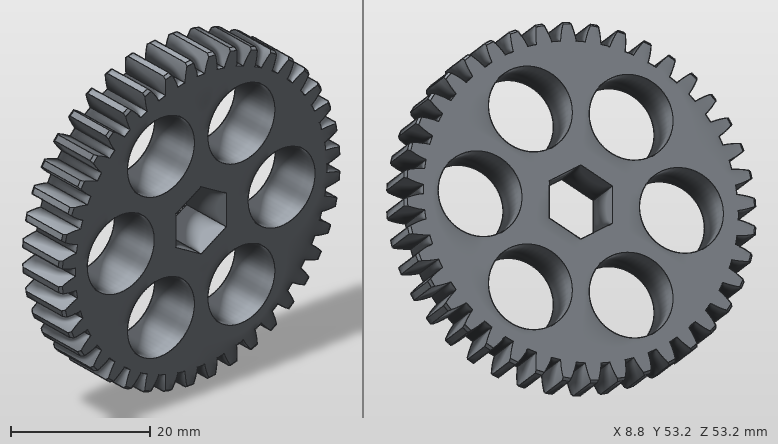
import cadquery as cq
import math

face_width = 8.8
tooth_count = 40
tooth_pitch_angle = 360 / tooth_count
pitch_radius = 25.4
module = 2 * pitch_radius / tooth_count
tip_radius = pitch_radius + module
root_radius = pitch_radius - 1.25 * module

root_half_thickness = 1.2
pitch_half_thickness = 0.9
tip_half_thickness = 0.505

tip_bevel_length = 0.5
tip_bevel_depth = 0.35

hex_sides = 6
hex_across_flats = 9.55
hole_count = 6
hole_diameter = 12.65
hole_circle_radius = 15.25


def start_face():
    """Sketch plane on the -X face of the gear."""
    return cq.Workplane("YZ", origin=(-face_width / 2, 0, 0))


def polar_point(radius, angle_degrees):
    """Point at a radius and angle about the gear axis, measured from +Y towards +Z."""
    angle = math.radians(angle_degrees)
    return (radius * math.cos(angle), radius * math.sin(angle))


def flank_point(radius, half_thickness, tooth_angle, side):
    """Point on a tooth flank; side is -1 or +1 about the tooth centre line."""
    offset_angle = math.degrees(math.asin(half_thickness / radius))
    return polar_point(radius, tooth_angle + side * offset_angle)


def make_toothed_blank():
    """Extruded outline: each tooth is two curved flanks, a tip arc and a root arc."""
    first_angle = tooth_pitch_angle / 2
    start_point = flank_point(root_radius, root_half_thickness, first_angle, -1)
    outline = start_face().moveTo(*start_point)
    for index in range(tooth_count):
        angle = first_angle + index * tooth_pitch_angle
        next_angle = angle + tooth_pitch_angle
        outline = outline.threePointArc(
            flank_point(pitch_radius, pitch_half_thickness, angle, -1),
            flank_point(tip_radius, tip_half_thickness, angle, -1),
        )
        outline = outline.threePointArc(
            polar_point(tip_radius, angle),
            flank_point(tip_radius, tip_half_thickness, angle, 1),
        )
        outline = outline.threePointArc(
            flank_point(pitch_radius, pitch_half_thickness, angle, 1),
            flank_point(root_radius, root_half_thickness, angle, 1),
        )
        outline = outline.threePointArc(
            polar_point(root_radius, angle + tooth_pitch_angle / 2),
            flank_point(root_radius, root_half_thickness, next_angle, -1),
        )
    return outline.close().extrude(face_width)


def make_bevel_envelope():
    """Solid of revolution about X that bevels the tooth tips at both faces."""
    half_width = face_width / 2
    clearance = 0.25
    bevel_slope = tip_bevel_length / tip_bevel_depth
    shoulder = half_width - tip_bevel_length - clearance * bevel_slope
    face_radius = tip_radius - tip_bevel_depth
    profile = [
        (-half_width, 0),
        (-half_width, face_radius),
        (-shoulder, tip_radius + clearance),
        (shoulder, tip_radius + clearance),
        (half_width, face_radius),
        (half_width, 0),
    ]
    return cq.Workplane("XY").polyline(profile).close().revolve(360, (0, 0, 0), (1, 0, 0))


def make_hex_bore():
    """Hexagonal bore with two corners on the Z axis."""
    corner_diameter = hex_across_flats / math.cos(math.pi / hex_sides)
    bore = start_face().polygon(hex_sides, corner_diameter).extrude(face_width)
    return bore.rotate((0, 0, 0), (1, 0, 0), 180 / hex_sides)


def make_lightening_holes():
    """Ring of through holes, the first on the Y axis."""
    centres = start_face().polarArray(hole_circle_radius, 0, 360, hole_count)
    return centres.circle(hole_diameter / 2).extrude(face_width)


toothed_wheel = make_toothed_blank().intersect(make_bevel_envelope())
result = toothed_wheel.cut(make_hex_bore()).cut(make_lightening_holes())